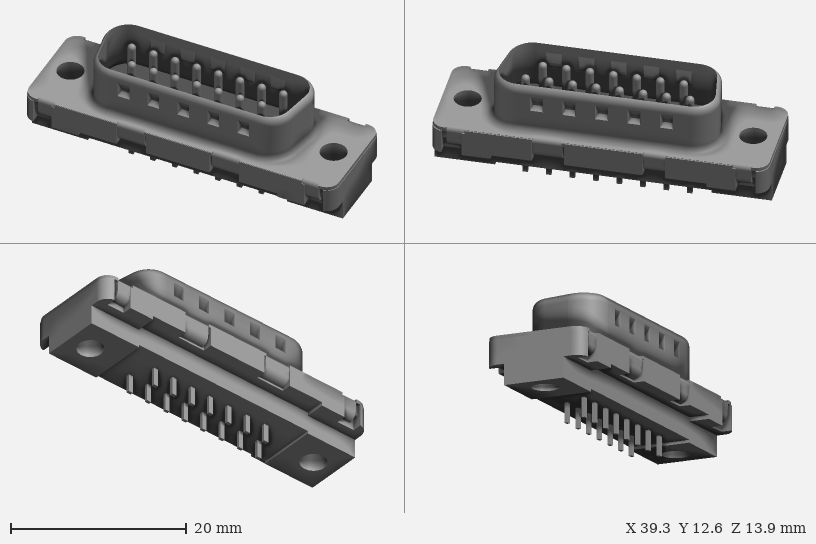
import cadquery as cq
import math

shell_top = 5.92
skirt_top = -0.05
plate_bottom = -0.44
middle_body_bottom = -2.96
end_body_bottom = -3.44
middle_foot_bottom = -5.6
end_foot_bottom = -5.95
tail_bottom = -7.98
pin_tip = 5.35

flange_length = 39.32
body_width = 12.55
plate_length = 39.22
plate_front = -6.22
plate_back = 6.15
flange_corner_radius = 1.55
middle_length = 25.2
foot_width = 7.52
hole_diameter = 3.2
hole_spacing = 33.3

shell_half_length = 12.88
shell_width = 9.5
shell_offset_y = -0.09
shell_slant = 10.0
shell_corner_radius = 3.05
shell_wall = 0.55
rim_height = 0.97
rim_start = shell_top - rim_height
rim_radius = (rim_height**2 + shell_wall**2) / (2 * shell_wall)
flare_radius = 0.83

dent_count = 5
dent_pitch = 3.79
dent_top = 4.74
dent_bottom = 2.82
dent_floor_top = 3.55
dent_floor_bottom = 3.25
dent_width = 1.47
dent_taper = 0.17
dent_rise = 0.26
dent_skin = 0.19

contact_pitch = 2.74
row_offset = 1.41
row_counts = {row_offset: 8, -row_offset: 7}
pin_diameter = 1.0
tail_size_x = 0.6
tail_size_y = 0.4

end_clip = (15.62, 17.75, 15.97, 18.34)
middle_clip = (4.27, 7.77, 4.0, 7.77)
short_middle_clip = (5.2, 7.77, 5.13, 7.77)
notch_back = 5.05
lip_face = 5.75
lip_bottom = -1.9
lip_radius = 0.35
clip_root = 5.63
clip_face = 6.2
clip_fold_radius = clip_face - clip_root
clip_curl_top = -1.65
clip_curl_face = 6.12
clip_bottom = -2.7


def box(x_min, x_max, y_min, y_max, z_min, z_max):
    """Axis-aligned block between two corners."""
    block = cq.Workplane("XY").box(x_max - x_min, y_max - y_min, z_max - z_min, centered=False)
    return block.translate((x_min, y_min, z_min))


def centred_box(length, width, z_min, z_max):
    return box(-length / 2, length / 2, -width / 2, width / 2, z_min, z_max)


def d_block(inset, z_min, z_max):
    """Rounded D-shaped prism, its outline moved inwards from the shell by inset."""
    half_width = shell_width / 2 - inset
    slant = math.radians(shell_slant)
    half_length = shell_half_length - inset / math.cos(slant)
    lean = half_width * math.tan(slant)
    outline = [
        (-half_length - lean, half_width),
        (half_length + lean, half_width),
        (half_length - lean, -half_width),
        (-half_length + lean, -half_width),
    ]
    prism = cq.Workplane("XY").polyline(outline).close().extrude(z_max - z_min)
    prism = prism.edges("|Z").fillet(shell_corner_radius - inset)
    return prism.translate((0, shell_offset_y, z_min))


def flared_d_block(inset, foot_level, top, radius):
    """D-shaped prism that spreads with a round flare onto a base slab at foot_level."""
    prism = d_block(inset, foot_level, top)
    slab = centred_box(flange_length, body_width, foot_level - radius, foot_level)
    joined = prism.union(slab)
    reach_x = (shell_half_length + flange_length / 2) / 2
    reach_y = (shell_width + body_width) / 4
    reach_z = radius / 10
    around_foot = cq.selectors.BoxSelector(
        (-reach_x, -reach_y, foot_level - reach_z),
        (reach_x, reach_y, foot_level + reach_z),
        boundingbox=True,
    )
    return joined.edges(around_foot).fillet(radius)


def make_flange():
    body = centred_box(flange_length, body_width, end_body_bottom, plate_bottom)
    body = body.edges("|Z").fillet(flange_corner_radius)
    underside_relief = centred_box(middle_length, body_width, end_body_bottom, middle_body_bottom)
    body = body.cut(underside_relief)
    plate = box(-plate_length / 2, plate_length / 2, plate_front, plate_back, plate_bottom, 0)
    plate = plate.edges("|Z").fillet(flange_corner_radius)
    foot = centred_box(flange_length, foot_width, end_foot_bottom, plate_bottom)
    foot_relief = centred_box(middle_length, foot_width, end_foot_bottom, middle_foot_bottom)
    skirt = centred_box(2 * end_clip[0], body_width, plate_bottom, skirt_top)
    return body.union(plate).union(skirt).union(foot.cut(foot_relief))


def make_shell():
    outside = flared_d_block(0, 0, rim_start + rim_radius, flare_radius)
    outside = outside.faces(">Z").edges().fillet(rim_radius)
    return outside.intersect(centred_box(flange_length, body_width, 0, shell_top))


def make_cavity():
    inner_flare_radius = flare_radius + shell_wall
    foot_level = flare_radius - inner_flare_radius
    cavity = flared_d_block(shell_wall, foot_level, shell_top, inner_flare_radius)
    return cavity.intersect(centred_box(flange_length, body_width, 0, shell_top))


def dent_wedge(width, root, tip):
    """Wedge pointing to +Y, width wide at depth root and narrowing to depth tip."""
    profile = [
        (root, dent_top),
        (tip, dent_floor_top),
        (tip, dent_floor_bottom),
        (root, dent_bottom),
    ]
    plan = [
        (-width / 2, root),
        (width / 2, root),
        (width / 2 - dent_taper, tip),
        (-width / 2 + dent_taper, tip),
    ]
    wedge = cq.Workplane("YZ").polyline(profile).close().extrude(width / 2, both=True)
    limits = cq.Workplane("XY").polyline(plan).close().extrude(shell_top)
    return wedge.intersect(limits)


def on_shell_wall(wedge, x, turn):
    """Move a wedge to the front shell wall (turn 0) or the back one (turn 180)."""
    placed = wedge.translate((x, -shell_width / 2, 0))
    return placed.rotate((0, 0, 0), (0, 0, 1), turn).translate((0, shell_offset_y, 0))


def add_dents(part):
    tip = shell_wall + dent_rise
    bump = dent_wedge(dent_width + 2 * dent_skin, shell_wall, tip)
    pocket = dent_wedge(dent_width, 0, tip - dent_skin)
    for turn in (0, 180):
        for index in range(dent_count):
            x = (index - (dent_count - 1) / 2) * dent_pitch
            part = part.union(on_shell_wall(bump, x, turn))
            part = part.cut(on_shell_wall(pocket, x, turn))
    return part


def clip_and_notch(span):
    """Front-side (+X) notch cutter and the lip and clip that refill it."""
    clip_start, clip_end, notch_start, notch_end = span
    outer = -body_width
    notch = box(notch_start, notch_end, outer, -notch_back, end_body_bottom, plate_bottom)
    slot = box(clip_start, clip_end, outer, -clip_root, plate_bottom, 0)
    lip = box(notch_start, notch_end, -lip_face, -notch_back, lip_bottom, plate_bottom)
    lip = lip.edges("|X and <Y and <Z").fillet(lip_radius)
    diagonal = math.sqrt(0.5)
    curl_depth = clip_curl_face - notch_back
    curl_height = clip_curl_top - clip_bottom
    clip = (
        cq.Workplane("YZ")
        .moveTo(-notch_back, 0)
        .lineTo(-clip_root, 0)
        .threePointArc(
            (-clip_root - clip_fold_radius * diagonal, clip_fold_radius * (diagonal - 1)),
            (-clip_face, -clip_fold_radius),
        )
        .lineTo(-clip_curl_face, clip_curl_top)
        .threePointArc(
            (-notch_back - curl_depth * diagonal, clip_curl_top - curl_height * diagonal),
            (-notch_back, clip_bottom),
        )
        .close()
        .extrude(clip_end - clip_start)
        .translate((clip_start, 0, 0))
    )
    return notch.union(slot), lip.union(clip)


def add_clips(part):
    left, right = -1, 1
    front, back = -1, 1
    placements = [
        (side_x, side_y, end_clip) for side_x in (left, right) for side_y in (front, back)
    ]
    placements += [
        (left, front, middle_clip),
        (right, front, middle_clip),
        (left, back, short_middle_clip),
        (right, back, middle_clip),
    ]
    for side_x, side_y, span in placements:
        cutter, filler = clip_and_notch(span)
        if side_x == left:
            cutter = cutter.mirror("YZ")
            filler = filler.mirror("YZ")
        if side_y == back:
            plate_shift = (0, plate_front + plate_back, 0)
            cutter = cutter.mirror("XZ").translate(plate_shift)
            filler = filler.mirror("XZ").translate(plate_shift)
        part = part.cut(cutter).union(filler)
    return part


def make_contact(x, y):
    radius = pin_diameter / 2
    shank_top = pin_tip - radius
    pin = cq.Workplane("XY").circle(radius).extrude(shank_top - plate_bottom)
    pin = pin.translate((x, y, plate_bottom))
    dome = cq.Workplane("XY").sphere(radius).translate((x, y, shank_top))
    tail = centred_box(tail_size_x, tail_size_y, tail_bottom, plate_bottom).translate((x, y, 0))
    return pin.union(dome).union(tail)


def add_contacts(part):
    for y, count in row_counts.items():
        for index in range(count):
            x = (index - (count - 1) / 2) * contact_pitch
            part = part.union(make_contact(x, y))
    return part


def cut_mounting_holes(part):
    for x in (-hole_spacing / 2, hole_spacing / 2):
        hole = cq.Workplane("XY").circle(hole_diameter / 2).extrude(end_foot_bottom)
        part = part.cut(hole.translate((x, 0, 0)))
    return part


connector = make_flange()
connector = add_clips(connector)
connector = connector.union(make_shell()).cut(make_cavity())
connector = add_dents(connector)
connector = cut_mounting_holes(connector)
result = add_contacts(connector)